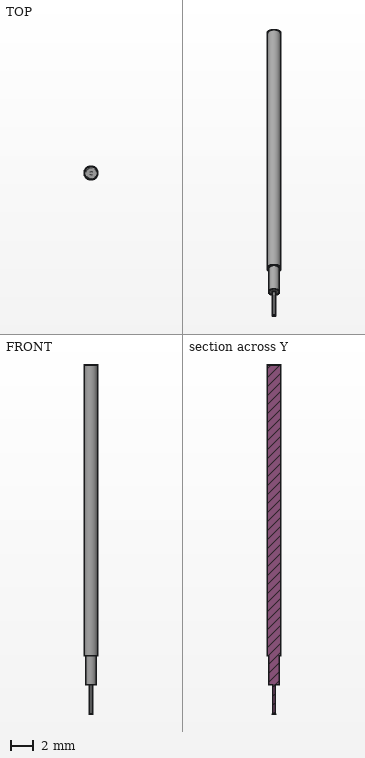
import cadquery as cq

jacket_diameter = 1.19
dielectric_diameter = 0.94
conductor_diameter = 0.28

jacket_length = 25.4
strip_length = 2.54

dielectric_bottom = strip_length
jacket_bottom = dielectric_bottom + strip_length


def round_section(diameter, bottom, length):
    """Solid cylinder on the Z axis, rising from the given height."""
    return cq.Workplane("XY").workplane(offset=bottom).circle(diameter / 2).extrude(length)


conductor = round_section(conductor_diameter, 0, strip_length)
dielectric = round_section(dielectric_diameter, dielectric_bottom, strip_length)
jacket = round_section(jacket_diameter, jacket_bottom, jacket_length)

result = jacket.union(dielectric).union(conductor)